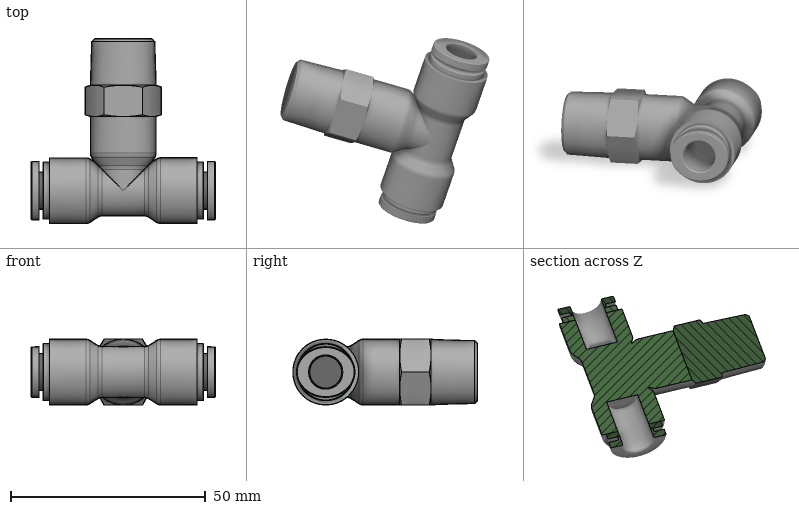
import cadquery as cq
import math


run_length = 47.2
overall_depth = 47.45

arm_length = 19.0
arm_radius = 8.45
waist_radius = 6.5
shoulder_outer = 9.0
shoulder_inner = 6.0
shoulder_blend = 2.0

bore_radius = 8.2 / 2
bore_mouth_chamfer = 0.3

ring_radius = 14.7 / 2
ring_length = 1.65
ring_edge_chamfer = 0.2

sleeve_end = run_length / 2
flange_width = 15.0
flange_height = 13.0
flange_length = 2.05
flange_edge_chamfer = 0.2
neck_radius = 9.6 / 2

hex_across_flats = 17.0
hex_length = 8.05
hex_chamfer_radius = 8.45
hex_chamfer_slope = 20.0
stud_end = overall_depth - arm_radius
thread_base_radius = 8.45
thread_tip_radius = 8.1
thread_chamfer = 0.8

ring_face = arm_length + ring_length
AXIS_ORIGIN = (0, 0, 0)
ALONG_X = (1, 0, 0)
ALONG_Y = (0, 1, 0)


def make_arm():
    """One arm of the tee along +X, starting at the origin: waist, shoulder cone and cylinder."""
    slope = math.atan2(arm_radius - waist_radius, shoulder_outer - shoulder_inner)
    tangent = shoulder_blend * math.tan(slope / 2)
    tangent_x = tangent * math.cos(slope)
    tangent_r = tangent * math.sin(slope)
    profile = (
        cq.Workplane("XY")
        .lineTo(0, waist_radius)
        .lineTo(shoulder_inner - tangent, waist_radius)
        .tangentArcPoint((shoulder_inner + tangent_x, waist_radius + tangent_r), relative=False)
        .lineTo(shoulder_outer - tangent_x, arm_radius - tangent_r)
        .tangentArcPoint((shoulder_outer + tangent, arm_radius), relative=False)
        .lineTo(arm_length, arm_radius)
        .lineTo(arm_length, 0)
        .close()
    )
    return profile.revolve(360, AXIS_ORIGIN, ALONG_X)


def make_housing():
    """Three equal arms along +X, +Y and -X; the two on the run have blind tube bores."""
    arm = make_arm()
    housing = arm
    for angle in (90, 180):
        housing = housing.union(arm.rotate(AXIS_ORIGIN, (0, 0, 1), angle))
    bore = (
        cq.Workplane("YZ", origin=(shoulder_outer, 0, 0))
        .circle(bore_radius)
        .extrude(arm_length - shoulder_outer)
    )
    return housing.cut(bore).cut(bore.mirror("YZ"))


def make_ring():
    """Guide ring seated on the +X end face of the housing."""
    return (
        cq.Workplane("YZ", origin=(arm_length, 0, 0))
        .circle(ring_radius)
        .extrude(ring_length)
        .faces(">X").edges().chamfer(ring_edge_chamfer)
        .faces("<X").workplane().circle(bore_radius).cutThruAll()
    )


def make_sleeve():
    """Release sleeve at the +X end: round neck against the ring and an oval flange."""
    flange_start = sleeve_end - flange_length
    neck = (
        cq.Workplane("YZ", origin=(ring_face, 0, 0))
        .circle(neck_radius)
        .extrude(flange_start - ring_face)
    )
    flange = (
        cq.Workplane("YZ", origin=(flange_start, 0, 0))
        .ellipse(flange_width / 2, flange_height / 2)
        .extrude(flange_length)
        .faces(">X").edges().chamfer(flange_edge_chamfer)
    )
    mouth_radius = bore_radius + bore_mouth_chamfer
    bore = (
        cq.Workplane("XY")
        .moveTo(ring_face, 0)
        .lineTo(ring_face, bore_radius)
        .lineTo(sleeve_end - bore_mouth_chamfer, bore_radius)
        .lineTo(sleeve_end, mouth_radius)
        .lineTo(sleeve_end, 0)
        .close()
        .revolve(360, AXIS_ORIGIN, ALONG_X)
    )
    return neck.union(flange).cut(bore)


def make_hex():
    """Hexagon along +Y with two flats facing +Z and -Z, its corners turned off at both ends."""
    corner_radius = hex_across_flats / 2 / math.cos(math.radians(30))
    drop = (corner_radius - hex_chamfer_radius) * math.tan(math.radians(hex_chamfer_slope))
    start = arm_length
    end = arm_length + hex_length
    prism = (
        cq.Workplane("XZ", origin=(0, start, 0))
        .polygon(6, 2 * corner_radius)
        .extrude(-hex_length)
    )
    turned_blank = (
        cq.Workplane("XY")
        .moveTo(0, start)
        .lineTo(hex_chamfer_radius, start)
        .lineTo(corner_radius, start + drop)
        .lineTo(corner_radius, end - drop)
        .lineTo(hex_chamfer_radius, end)
        .lineTo(0, end)
        .close()
        .revolve(360, AXIS_ORIGIN, ALONG_Y)
    )
    return prism.intersect(turned_blank)


def make_stud():
    """Hexagon followed by a plain taper standing for the thread, chamfered at its tip."""
    hex_end = arm_length + hex_length
    taper = (
        cq.Workplane("XY")
        .moveTo(0, hex_end)
        .lineTo(thread_base_radius, hex_end)
        .lineTo(thread_tip_radius, stud_end - thread_chamfer)
        .lineTo(thread_tip_radius - thread_chamfer, stud_end)
        .lineTo(0, stud_end)
        .close()
        .revolve(360, AXIS_ORIGIN, ALONG_Y)
    )
    return make_hex().union(taper)


housing = make_housing()
stud = make_stud()
end_parts = []
for make_end_part in (make_ring, make_sleeve):
    end_part = make_end_part()
    end_parts.append(end_part.val())
    end_parts.append(end_part.mirror("YZ").val())

result = cq.Compound.makeCompound([housing.val(), stud.val(), *end_parts])